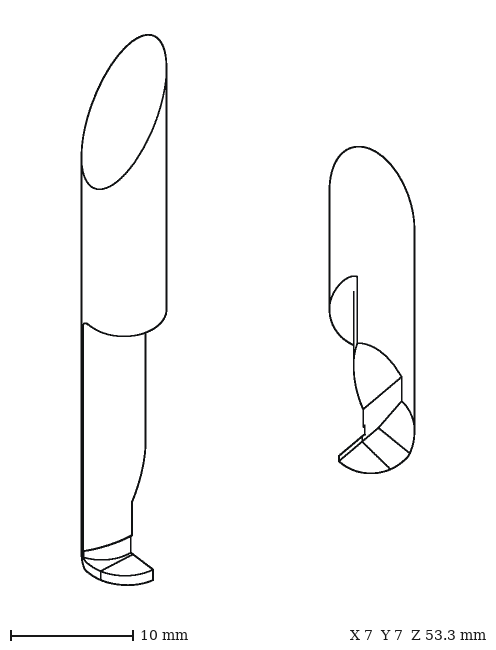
import cadquery as cq
import math

total_height = 53.3
shank_diameter = 7.0
shank_radius = shank_diameter / 2
slant_angle = 60.0
slant_rise_per_unit = math.tan(math.radians(slant_angle))

shoulder_height = 26.45
shoulder_fillet = 0.95
neck_edge_x = -1.35
neck_bulge_x = 0.8
neck_edge_y = math.sqrt(shank_radius**2 - neck_edge_x**2)

rake_y = 0.2
rake_end_height = 6.55
bevel_end_x = -0.9
bevel_angle = 30.0

ledge_height = 1.1
insert_start_x = 0.9
ledge_curve_start = (-0.2, -3.4)
insert_curve_middle = (2.4, -2.35)
cutting_edge_x = shank_radius
underside_clearance_angle = 3.0

relief_depth = 0.15
relief_top_at_edge = 1.8
relief_top_at_bulge = 3.05

reach = 2 * shank_diameter


def slanted_bar():
    low_side_height = total_height - shank_diameter * slant_rise_per_unit
    side_profile = (
        cq.Workplane("YZ")
        .polyline([
            (-shank_radius, 0),
            (shank_radius, 0),
            (shank_radius, total_height),
            (-shank_radius, low_side_height),
        ])
        .close()
        .extrude(shank_diameter, both=True)
    )
    return cq.Workplane("XY").circle(shank_radius).extrude(total_height).intersect(side_profile)


def neck_arc_circle():
    """Centre X and radius of the arc that bulges between the two neck edges."""
    bulge = neck_bulge_x - neck_edge_x
    radius = (neck_edge_y**2 + bulge**2) / (2 * bulge)
    return neck_bulge_x - radius, radius


def neck_clearance():
    """Space beside the neck, rounded where it runs into the shoulder."""
    center_x, radius = neck_arc_circle()
    surrounding_block = (
        cq.Workplane("XY")
        .workplane(offset=ledge_height)
        .moveTo(neck_edge_x + reach / 2, 0)
        .rect(reach, reach)
        .extrude(shoulder_height - ledge_height)
    )
    fillet_start = shoulder_height - shoulder_fillet
    arc_offset = shoulder_fillet * (1 - math.sqrt(0.5))
    kept_core = (
        cq.Workplane("XZ")
        .lineTo(radius, 0)
        .lineTo(radius, fillet_start)
        .threePointArc(
            (radius + arc_offset, shoulder_height - arc_offset),
            (radius + shoulder_fillet, shoulder_height),
        )
        .lineTo(0, shoulder_height)
        .close()
        .revolve(360, (0, 0, 0), (0, 1, 0))
        .translate((center_x, 0, 0))
    )
    return surrounding_block.cut(kept_core)


def neck_relief():
    center_x, radius = neck_arc_circle()
    slope = (relief_top_at_bulge - relief_top_at_edge) / (neck_bulge_x - neck_edge_x)
    far_x = neck_edge_x + reach
    block = (
        cq.Workplane("XZ")
        .polyline([
            (neck_edge_x, ledge_height),
            (far_x, ledge_height),
            (far_x, relief_top_at_edge + slope * reach),
            (neck_edge_x, relief_top_at_edge),
        ])
        .close()
        .extrude(reach, both=True)
    )
    kept_core = (
        cq.Workplane("XY")
        .center(center_x - relief_depth, 0)
        .circle(radius)
        .extrude(total_height)
    )
    return block.cut(kept_core)


def rake_cut():
    """Flat on the +Y side of the tip, ending in a slanted run-out."""
    return (
        cq.Workplane("YZ")
        .polyline([
            (rake_y, -reach),
            (rake_y + reach, -reach),
            (rake_y + reach, rake_end_height + reach * slant_rise_per_unit),
            (rake_y, rake_end_height),
        ])
        .close()
        .extrude(reach, both=True)
    )


def bevel_cut():
    bevel_height = reach * math.tan(math.radians(bevel_angle))
    return (
        cq.Workplane("XZ")
        .polyline([
            (bevel_end_x, 0),
            (bevel_end_x - reach, bevel_height),
            (bevel_end_x - reach, 0),
        ])
        .close()
        .extrude(reach, both=True)
    )


def underside_cut():
    """Wedge that raises the underside away from the cutting edge toward -Y."""
    wedge_height = reach * math.tan(math.radians(underside_clearance_angle))
    return (
        cq.Workplane("YZ")
        .polyline([(rake_y, 0), (rake_y - reach, wedge_height), (rake_y - reach, 0)])
        .close()
        .extrude(reach, both=True)
    )


def tip_plate():
    """Plate of ledge height whose rounded front runs to the cutting edge."""
    return (
        cq.Workplane("XY")
        .moveTo(-shank_radius, rake_y)
        .lineTo(-shank_radius, ledge_curve_start[1])
        .lineTo(*ledge_curve_start)
        .threePointArc(insert_curve_middle, (cutting_edge_x, rake_y))
        .close()
        .extrude(ledge_height)
        .cut(underside_cut())
    )


def insert_zone():
    return (
        cq.Workplane("XY")
        .moveTo(insert_start_x + reach / 2, 0)
        .rect(reach, reach)
        .extrude(ledge_height)
    )


def make_bar():
    ledge_front_cut = (
        cq.Workplane("XY")
        .moveTo(neck_edge_x + reach / 2, 0)
        .rect(reach, reach)
        .extrude(ledge_height)
        .cut(tip_plate())
    )
    bar = slanted_bar().cut(neck_clearance()).cut(neck_relief())
    bar = bar.cut(rake_cut()).cut(bevel_cut()).cut(underside_cut())
    return bar.cut(ledge_front_cut).cut(insert_zone())


def make_insert():
    return tip_plate().intersect(insert_zone())


bar = make_bar()
cutting_insert = make_insert()
result = cq.Compound.makeCompound([bar.val(), cutting_insert.val()])